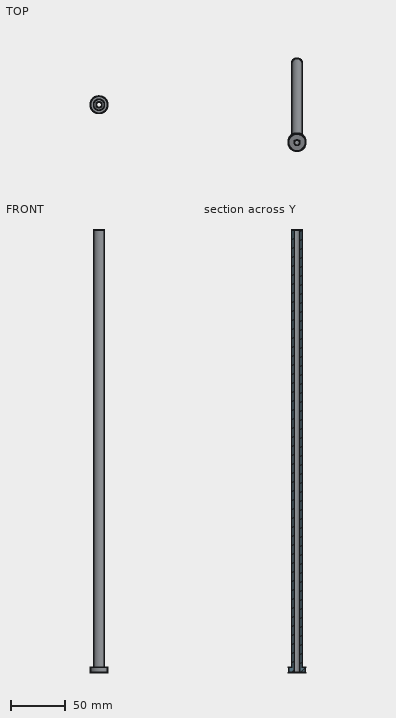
import cadquery as cq

total_length = 405.0
head_diameter = 16.0
head_height = 5.0
shank_diameter = 10.0
bore_diameter = 5.0


def cylinder(diameter, height):
    """Cylinder on the Z axis with its base on the XY plane."""
    return cq.Workplane("XY").circle(diameter / 2).extrude(height)


head = cylinder(head_diameter, head_height)
shank = cylinder(shank_diameter, total_length)
through_bore = cylinder(bore_diameter, total_length)

result = head.union(shank).cut(through_bore)